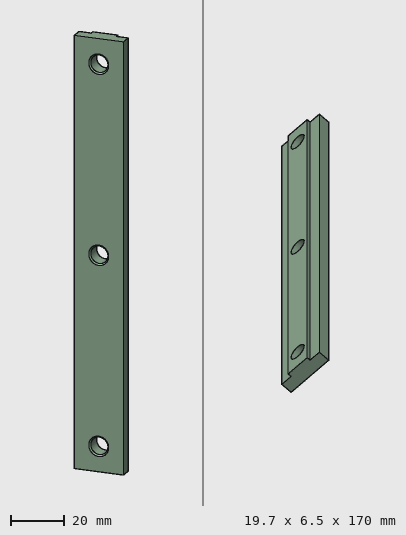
import cadquery as cq

length = 170.0
width = 19.7
depth = 6.5

ridge_width = 10.0
ridge_height = 1.5

hole_diameter = 6.8
countersink_diameter = 8.0
countersink_angle = 90.0
hole_spacing = 75.0
hole_heights = [-hole_spacing, 0, hole_spacing]

base_depth = depth - ridge_height


def make_bar():
    """Flat bar with its front face on Y = 0 and the ridge on its back."""
    base = cq.Workplane("XY").box(width, base_depth, length, centered=(True, False, True))
    ridge = cq.Workplane("XY").box(ridge_width, depth, length, centered=(True, False, True))
    return base.union(ridge)


def drill_holes(bar):
    """Countersunk holes through the bar and the ridge."""
    return (
        bar.faces("<Y")
        .workplane(origin=(0, 0, 0))
        .pushPoints([(0, height) for height in hole_heights])
        .cskHole(hole_diameter, countersink_diameter, countersink_angle)
    )


result = drill_holes(make_bar())